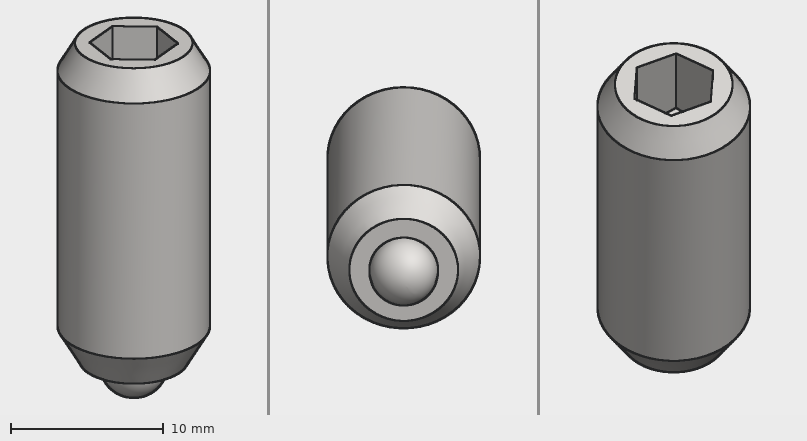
import cadquery as cq
import math


body_diameter = 10.0
body_length = 23.0
cone_half_angle = 30.0
top_taper_height = 2.0
bottom_taper_height = 2.5
hex_across_flats = 5.0
hex_depth = 5.0
drill_point_angle = 120.0
pin_diameter = 4.5
pin_projection = 2.5
pin_bore_depth = 5.0

body_radius = body_diameter / 2
taper_slope = math.tan(math.radians(cone_half_angle))
top_radius = body_radius - top_taper_height * taper_slope
bottom_radius = body_radius - bottom_taper_height * taper_slope
hex_across_corners = hex_across_flats / math.cos(math.radians(30))
drill_radius = hex_across_corners / 2
drill_cone_height = drill_radius / math.tan(math.radians(drill_point_angle / 2))
pin_radius = pin_diameter / 2

body_bottom = pin_projection
body_top = body_bottom + body_length
bore_top = body_bottom + pin_bore_depth


def make_hex_socket():
    """Hexagonal prism, corners along X, ending in a cone that narrows to a point."""
    floor_rim = body_top - hex_depth
    tip = floor_rim - drill_cone_height
    prism = (
        cq.Workplane("XY")
        .workplane(offset=tip)
        .polygon(6, hex_across_corners)
        .extrude(body_top - tip)
    )
    drill = (
        cq.Workplane("XZ")
        .moveTo(0, tip)
        .lineTo(drill_radius, floor_rim)
        .lineTo(drill_radius, body_top)
        .lineTo(0, body_top)
        .close()
        .revolve(360, (0, 0, 0), (0, 1, 0))
    )
    return prism.intersect(drill)


def make_pin_bore():
    """Blind hole in the lower end that the pin fills."""
    return (
        cq.Workplane("XY")
        .workplane(offset=body_bottom)
        .circle(pin_radius)
        .extrude(pin_bore_depth)
    )


def make_body():
    """Cylinder with a taper at each end, a hex socket on top and a pin bore below."""
    blank = (
        cq.Workplane("XZ")
        .moveTo(0, body_bottom)
        .lineTo(bottom_radius, body_bottom)
        .lineTo(body_radius, body_bottom + bottom_taper_height)
        .lineTo(body_radius, body_top - top_taper_height)
        .lineTo(top_radius, body_top)
        .lineTo(0, body_top)
        .close()
        .revolve(360, (0, 0, 0), (0, 1, 0))
    )
    return blank.cut(make_hex_socket()).cut(make_pin_bore())


def make_pin():
    """Round pin with a hemispherical nose pointing down."""
    nose_45 = pin_radius * math.sqrt(0.5)
    return (
        cq.Workplane("XZ")
        .moveTo(0, 0)
        .threePointArc((nose_45, pin_radius - nose_45), (pin_radius, pin_radius))
        .lineTo(pin_radius, bore_top)
        .lineTo(0, bore_top)
        .close()
        .revolve(360, (0, 0, 0), (0, 1, 0))
    )


body = make_body()
pin = make_pin()

result = cq.Compound.makeCompound([body.val(), pin.val()])